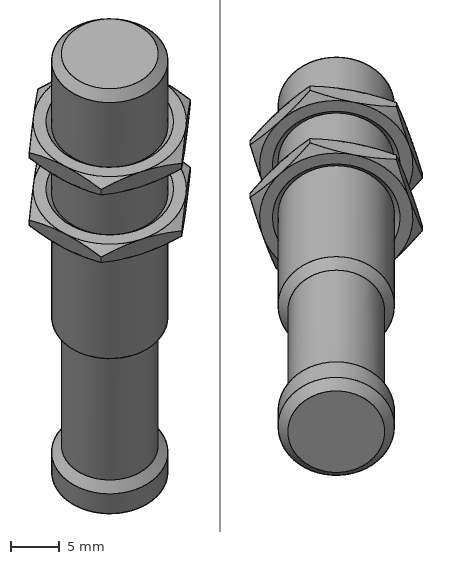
import cadquery as cq
import math

total_height = 63.0
body_radius = 6.0
edge_chamfer = 1.0
neck_radius = body_radius - edge_chamfer
collar_height = 5.0
shoulder_height = 23.0

across_flats = 15.75
nut_thickness = 2.2
nut_pitch = 10.0
upper_nut_drop = 10.0
nut_count = 2
bevel_angle = math.radians(30)
countersink = 0.55

hexagon_sides = 6
across_corners = across_flats / math.cos(math.pi / hexagon_sides)


def make_body():
    """Barrel, neck and foot collar turned in one piece, with 45 degree chamfers."""
    profile = [
        (0, 0),
        (neck_radius, 0),
        (body_radius, edge_chamfer),
        (body_radius, collar_height - edge_chamfer),
        (neck_radius, collar_height),
        (neck_radius, shoulder_height),
        (body_radius, shoulder_height + edge_chamfer),
        (body_radius, total_height - edge_chamfer),
        (neck_radius, total_height),
        (0, total_height),
    ]
    return cq.Workplane("XZ").polyline(profile).close().revolve(360, (0, 0), (0, 1))


def make_nut_envelope():
    """Double cone that bevels the corners and leaves the flats at full width."""
    flat_radius = across_flats / 2
    corner_radius = across_corners / 2
    bevel_height = (corner_radius - flat_radius) * math.tan(bevel_angle)
    profile = [
        (0, 0),
        (flat_radius, 0),
        (corner_radius, bevel_height),
        (corner_radius, nut_thickness - bevel_height),
        (flat_radius, nut_thickness),
        (0, nut_thickness),
    ]
    return cq.Workplane("XZ").polyline(profile).close().revolve(360, (0, 0), (0, 1))


def make_nut_bore():
    """Bore fitting the body, opening into a countersink at each end."""
    profile = [
        (0, 0),
        (body_radius + countersink, 0),
        (body_radius, countersink),
        (body_radius, nut_thickness - countersink),
        (body_radius + countersink, nut_thickness),
        (0, nut_thickness),
    ]
    return cq.Workplane("XZ").polyline(profile).close().revolve(360, (0, 0), (0, 1))


def make_nut(base_height):
    """Hexagon nut with corners on the X axis and its lower face at base_height."""
    hexagon = cq.Workplane("XY").polygon(hexagon_sides, across_corners).extrude(nut_thickness)
    nut = hexagon.intersect(make_nut_envelope()).cut(make_nut_bore())
    return nut.translate((0, 0, base_height))


body = make_body()

upper_nut_base = total_height - upper_nut_drop - nut_thickness
nuts = []
for index in range(nut_count):
    nuts.append(make_nut(upper_nut_base - index * nut_pitch).solids().val())

result = cq.Compound.makeCompound([body.val(), *nuts])